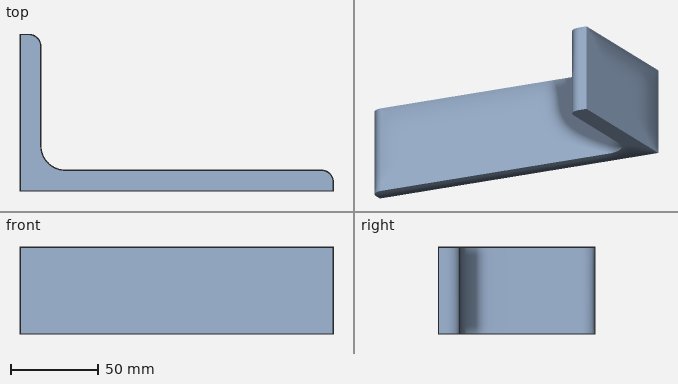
import cadquery as cq

long_leg = 180.0
short_leg = 90.0
thickness = 12.0
root_radius = 14.0
toe_radius = 7.0
length = 50.0


def angle_bar():
    """Sharp-cornered L section with its heel at the origin."""
    return (
        cq.Workplane("XY")
        .moveTo(0, 0)
        .lineTo(long_leg, 0)
        .lineTo(long_leg, thickness)
        .lineTo(thickness, thickness)
        .lineTo(thickness, short_leg)
        .lineTo(0, short_leg)
        .close()
        .extrude(length)
    )


def round_edge(bar, x, y, radius):
    """Round the vertical edge of the bar that passes through (x, y)."""
    edge = cq.selectors.NearestToPointSelector((x, y, length / 2))
    return bar.edges("|Z").edges(edge).fillet(radius)


result = angle_bar()
result = round_edge(result, thickness, thickness, root_radius)
result = round_edge(result, long_leg, thickness, toe_radius)
result = round_edge(result, thickness, short_leg, toe_radius)